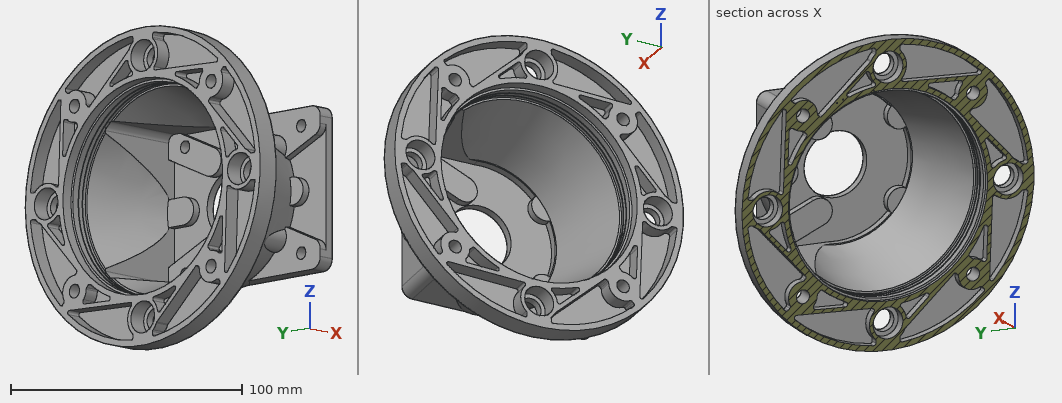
import cadquery as cq
import math

FLANGE_RADIUS = 70.0
FLANGE_THICKNESS = 11.8
FLANGE_CHAMFER = 1.7
HOLE_CIRCLE_RADIUS = 57.5
BOLT_HOLE_DIAMETER = 10.0
BOLT_RECESS_DIAMETER = 14.0
BOLT_RECESS_DEPTH = 8.0
SMALL_HOLE_DIAMETER = 6.0

POCKET_DEPTH = 7.0
POCKET_INNER_RADIUS = 50.0
POCKET_OUTER_RADIUS = 67.2
POCKET_CORNER_RADIUS = 1.0
BOLT_BOSS_RADIUS = 9.0
SMALL_BOSS_RADIUS = 7.0
RIB_COUNT = 8
RIB_WIDTH = 2.0
RIB_DISTANCE = 49.4
RIB_LENGTH = 47.6
RIB_TILT = 2.2
BOLT_WEB_WIDTH = 11.8
SMALL_WEB_WIDTH = 2.8
RIB_WEB_WIDTH = 9.8
RIB_WEB_SHIFT = 0.4
INNER_WEB_WIDTH = 9.5

MOUTH_DIAMETER = 95.0
MOUTH_DEPTH = 5.0
BORE_DIAMETER = 93.0
BORE_DEPTH = 12.9
GROOVE_START = 8.7
GROOVE_END = 11.2
GROOVE_DEPTH = 0.3

CONE_ROOT_RADIUS = POCKET_INNER_RADIUS
CONE_START = 13.0
CONE_START_RADIUS = 48.7
CONE_SLOPE = math.tan(math.radians(14.7))
CONE_WALL = 3.2

LENGTH = 60.0
PLATE_START = 52.5
FLOOR_START = 56.1
PLATE_HALF_HEIGHT = 36.0
PLATE_CENTRE_Y = -10.0
PLATE_HALF_LENGTH = PLATE_HALF_HEIGHT - PLATE_CENTRE_Y
PLATE_CORNER_RADIUS = 5.0
BOX_WALL = 1.5
FLOOR_RADIUS = 34.6
CENTRE_HOLE_DIAMETER = 30.0
PLATE_HOLE_DIAMETER = 5.5
PLATE_HOLE_OFFSET_Y = 34.6
PLATE_HOLE_OFFSET_Z = 28.0

PAD_OFFSET = 19.5
PAD_RADIUS = 6.3
PAD_ANGLE = 24.0
PAD_LENGTH = 44.8
TAB_RADIUS = 6.2
TAB_OFFSET = 35.7
TAB_LENGTH = 11.2
BUMP_START = 35.0

PLATE_MIN_Y = PLATE_CENTRE_Y - PLATE_HALF_LENGTH


def section(x):
    """Sketch plane across the axis; its local axes are Y and Z, and it extrudes toward +X."""
    return cq.Workplane("YZ", origin=(x, 0, 0))


def cylinder(start, end, radius, y=0, z=0):
    return section(start).center(y, z).circle(radius).extrude(end - start)


def cone_radius(x):
    return CONE_START_RADIUS - CONE_SLOPE * (x - CONE_START)


def revolved(profile):
    """Body of revolution about X from (x, radius) points."""
    return cq.Workplane("XY").polyline(profile).close().revolve(360, (0, 0, 0), (1, 0, 0))


def box_section(start, end, half_size, corner_radius):
    """Bar covering the +Y half of a square, with its two far corners rounded."""
    bar = section(start).center(half_size / 2, 0).rect(half_size, 2 * half_size).extrude(end - start)
    return bar.edges("|X and >Y").fillet(corner_radius)


def hole_positions(first_angle):
    angles = [math.radians(first_angle + 90 * i) for i in range(4)]
    return [(HOLE_CIRCLE_RADIUS * math.cos(a), HOLE_CIRCLE_RADIUS * math.sin(a)) for a in angles]


BOLT_POSITIONS = hole_positions(0)
SMALL_POSITIONS = hole_positions(45)


def end_plate():
    height = LENGTH - PLATE_START
    plate = section(PLATE_START).center(PLATE_CENTRE_Y, 0)
    plate = plate.rect(2 * PLATE_HALF_LENGTH, 2 * PLATE_HALF_HEIGHT).extrude(height)
    return plate.edges("|X").fillet(PLATE_CORNER_RADIUS)


def corner_pad(side_y, side_z):
    """Round-ended pad running from beside the centre hole out past a plate corner."""
    pad = section(PLATE_START).center(PAD_LENGTH / 2, 0).rect(PAD_LENGTH, 2 * PAD_RADIUS)
    pad = pad.extrude(FLOOR_START - PLATE_START)
    pad = pad.union(cylinder(PLATE_START, FLOOR_START, PAD_RADIUS))
    direction = PAD_ANGLE if side_y > 0 else 180 - PAD_ANGLE
    pad = pad.rotate((0, 0, 0), (1, 0, 0), side_z * direction)
    return pad.translate((0, PLATE_CENTRE_Y + side_y * PAD_OFFSET, side_z * PAD_OFFSET))


def centre_tab(round_y):
    """Tab with its round end toward -Y and its straight sides running toward +Y."""
    height = FLOOR_START - PLATE_START
    tab = section(PLATE_START).center(round_y + TAB_LENGTH / 2, 0).rect(TAB_LENGTH, 2 * TAB_RADIUS)
    return tab.extrude(height).union(cylinder(PLATE_START, FLOOR_START, TAB_RADIUS, round_y))


def outer_plate_pocket():
    """Recess between the two -Y pads, open toward -Y."""
    tilt = math.radians(PAD_ANGLE)
    run = PLATE_CENTRE_Y - PAD_OFFSET - PLATE_MIN_Y
    edge_z = PAD_OFFSET + run * math.tan(tilt) - PAD_RADIUS / math.cos(tilt)
    inner_z = edge_z - run * math.tan(tilt)
    bend = math.radians(90 - PAD_ANGLE)
    setback = PLATE_CORNER_RADIUS * math.tan(bend / 2)
    along_y = setback * math.cos(tilt)
    along_z = setback * math.sin(tilt)
    middle_y = PLATE_CORNER_RADIUS * (1 - math.cos(bend / 2))
    middle_z = setback - PLATE_CORNER_RADIUS * math.sin(bend / 2)
    pocket = (
        section(PLATE_START)
        .moveTo(PLATE_MIN_Y, edge_z + setback)
        .threePointArc(
            (PLATE_MIN_Y + middle_y, edge_z + middle_z),
            (PLATE_MIN_Y + along_y, edge_z - along_z),
        )
        .lineTo(PLATE_MIN_Y + run, inner_z)
        .lineTo(PLATE_MIN_Y + run, -inner_z)
        .lineTo(PLATE_MIN_Y + along_y, along_z - edge_z)
        .threePointArc(
            (PLATE_MIN_Y + middle_y, -edge_z - middle_z),
            (PLATE_MIN_Y, -edge_z - setback),
        )
        .close()
        .extrude(FLOOR_START - PLATE_START)
    )
    return pocket.cut(centre_tab(PLATE_CENTRE_Y - TAB_OFFSET + TAB_RADIUS))


def outer_body():
    flange = cylinder(0, FLANGE_THICKNESS, FLANGE_RADIUS).faces(">X").chamfer(FLANGE_CHAMFER)
    cone = revolved([
        (0, 0),
        (0, CONE_ROOT_RADIUS),
        (FLANGE_THICKNESS, CONE_ROOT_RADIUS),
        (CONE_START, CONE_START_RADIUS),
        (LENGTH, cone_radius(LENGTH)),
        (LENGTH, 0),
    ])
    box = box_section(0, LENGTH, PLATE_HALF_HEIGHT, PLATE_CORNER_RADIUS)
    body = end_plate().cut(outer_plate_pocket()).union(cone).union(box).union(flange)
    for side in (-1, 1):
        bump_y = PLATE_CENTRE_Y - PAD_OFFSET
        body = body.union(cylinder(BUMP_START, PLATE_START, PAD_RADIUS, bump_y, side * PAD_OFFSET))
    return body


def floor_pocket():
    """Recess in the housing floor, leaving the pads and one centre tab standing."""
    corner_radius = PLATE_CORNER_RADIUS - BOX_WALL
    half_size = PLATE_HALF_HEIGHT - BOX_WALL
    pocket = cylinder(PLATE_START, FLOOR_START, FLOOR_RADIUS)
    pocket = pocket.union(box_section(PLATE_START, FLOOR_START, half_size, corner_radius))
    for side_y in (-1, 1):
        for side_z in (-1, 1):
            pocket = pocket.cut(corner_pad(side_y, side_z))
    return pocket.cut(centre_tab(PLATE_CENTRE_Y + TAB_OFFSET))


def cavity():
    mouth_radius = MOUTH_DIAMETER / 2
    bore_radius = BORE_DIAMETER / 2
    groove_radius = bore_radius + GROOVE_DEPTH
    hollow = revolved([
        (0, 0),
        (0, mouth_radius),
        (MOUTH_DEPTH, mouth_radius),
        (MOUTH_DEPTH, bore_radius),
        (GROOVE_START, bore_radius),
        (GROOVE_START, groove_radius),
        (GROOVE_END, groove_radius),
        (GROOVE_END, bore_radius),
        (BORE_DEPTH, bore_radius),
        (BORE_DEPTH, cone_radius(BORE_DEPTH) - CONE_WALL),
        (PLATE_START, cone_radius(PLATE_START) - CONE_WALL),
        (PLATE_START, 0),
    ])
    half_size = PLATE_HALF_HEIGHT - BOX_WALL
    corner_radius = PLATE_CORNER_RADIUS - BOX_WALL
    hollow = hollow.union(box_section(BORE_DEPTH, PLATE_START, half_size, corner_radius))
    return hollow.union(floor_pocket())


def radial_bar(angle, start, end, width, shift=0):
    """Bar in the pocket layer lying along a radius, optionally shifted sideways."""
    bar = section(0).center((start + end) / 2, shift).rect(end - start, width).extrude(POCKET_DEPTH)
    return bar.rotate((0, 0, 0), (1, 0, 0), angle)


def bosses(positions, radius):
    return section(0).pushPoints(positions).circle(radius).extrude(POCKET_DEPTH)


def flange_pockets():
    """Ring of pockets left between the hole bosses and the slanted ribs."""
    pockets = section(0).circle(POCKET_OUTER_RADIUS).circle(POCKET_INNER_RADIUS).extrude(POCKET_DEPTH)
    pockets = pockets.cut(bosses(BOLT_POSITIONS, BOLT_BOSS_RADIUS))
    pockets = pockets.cut(bosses(SMALL_POSITIONS, SMALL_BOSS_RADIUS))
    for i in range(RIB_COUNT):
        normal_angle = RIB_TILT + i * 360 / RIB_COUNT
        rib_start = RIB_DISTANCE - RIB_WIDTH / 2
        rib = radial_bar(normal_angle, rib_start, rib_start + RIB_WIDTH, RIB_LENGTH, RIB_LENGTH / 2)
        pockets = pockets.cut(rib)
    for i in range(4):
        bolt_angle = 90 * i
        small_angle = bolt_angle + 45
        turn = math.radians(45 - RIB_TILT)
        small_shift = HOLE_CIRCLE_RADIUS * math.sin(turn) - RIB_WEB_SHIFT
        small_start = HOLE_CIRCLE_RADIUS * math.cos(turn)
        pockets = pockets.cut(radial_bar(bolt_angle, HOLE_CIRCLE_RADIUS, FLANGE_RADIUS, BOLT_WEB_WIDTH))
        pockets = pockets.cut(radial_bar(small_angle, HOLE_CIRCLE_RADIUS, FLANGE_RADIUS, SMALL_WEB_WIDTH))
        pockets = pockets.cut(
            radial_bar(small_angle, POCKET_INNER_RADIUS - 1.4, HOLE_CIRCLE_RADIUS, INNER_WEB_WIDTH)
        )
        pockets = pockets.cut(
            radial_bar(bolt_angle + RIB_TILT, small_start, RIB_DISTANCE, RIB_WEB_WIDTH, small_shift)
        )
    return pockets.edges("|X").fillet(POCKET_CORNER_RADIUS)


def holes():
    bolts = section(0).pushPoints(BOLT_POSITIONS).circle(BOLT_HOLE_DIAMETER / 2).extrude(FLANGE_THICKNESS)
    recesses = section(0).pushPoints(BOLT_POSITIONS).circle(BOLT_RECESS_DIAMETER / 2).extrude(BOLT_RECESS_DEPTH)
    small = section(0).pushPoints(SMALL_POSITIONS).circle(SMALL_HOLE_DIAMETER / 2).extrude(FLANGE_THICKNESS)
    centre = cylinder(PLATE_START, LENGTH, CENTRE_HOLE_DIAMETER / 2)
    plate = (
        section(PLATE_START)
        .center(PLATE_CENTRE_Y, 0)
        .rect(2 * PLATE_HOLE_OFFSET_Y, 2 * PLATE_HOLE_OFFSET_Z, forConstruction=True)
        .vertices()
        .circle(PLATE_HOLE_DIAMETER / 2)
        .extrude(LENGTH - PLATE_START)
    )
    return [bolts, recesses, small, centre, plate]


result = outer_body().cut(cavity()).cut(flange_pockets())
for hole in holes():
    result = result.cut(hole)